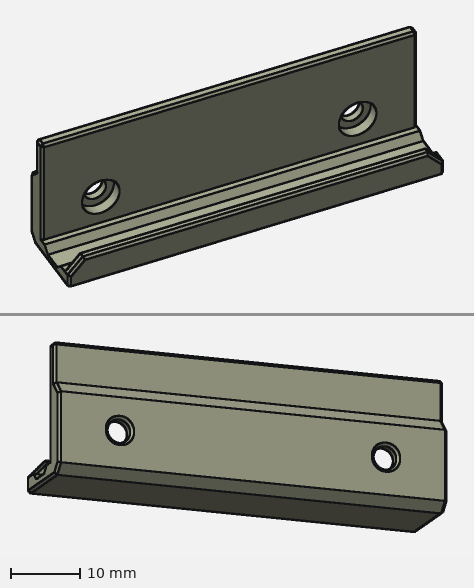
import cadquery as cq

width = 12.8
length = 60.0
height = 20.0

step_depth = 1.8
wall_inner_x = 3.7
step_low_z = 12.1
step_high_z = step_low_z + step_depth
corner_cut = 1.5

floor_top_z = 2.35
groove_floor_z = 1.25
groove_center_x = 7.45
groove_top_width = 5.4
groove_bottom_width = 3.2

lip_thickness = 1.6
lip_top_z = 4.9
lip_center_x = width - lip_thickness / 2
lip_slope_length = 2.45

bevel = 0.4

hole_diameter = 3.5
hole_mouth_diameter = 4.4
recess_diameter = 6.0
recess_depth = 1.9
hole_z = 7.15
hole_spacing = 41.05


def extrude_along_rail(points):
    """Extrude an XZ outline over the full length."""
    return cq.Workplane("XZ").polyline(points).close().extrude(length / 2, both=True)


def make_wall():
    wall = extrude_along_rail([
        (corner_cut, 0),
        (wall_inner_x, 0),
        (wall_inner_x, height),
        (step_depth, height),
        (step_depth, step_high_z),
        (0, step_low_z),
        (0, corner_cut),
    ])
    return wall.faces("<Y or >Y or >Z").edges().chamfer(bevel)


def make_floor():
    half_top = groove_top_width / 2
    half_bottom = groove_bottom_width / 2
    floor = extrude_along_rail([
        (step_depth, 0),
        (lip_center_x, 0),
        (lip_center_x, floor_top_z),
        (groove_center_x + half_top, floor_top_z),
        (groove_center_x + half_bottom, groove_floor_z),
        (groove_center_x - half_bottom, groove_floor_z),
        (groove_center_x - half_top, floor_top_z),
        (step_depth, floor_top_z),
    ])
    return floor.faces("<Z").edges("|X").chamfer(bevel)


def make_lip():
    half_length = length / 2
    half_top = half_length - lip_slope_length
    lip = (
        cq.Workplane("YZ", origin=(width - lip_thickness, 0, 0))
        .polyline([
            (-half_length, 0),
            (half_length, 0),
            (half_length, floor_top_z),
            (half_top, lip_top_z),
            (-half_top, lip_top_z),
            (-half_length, floor_top_z),
        ])
        .close()
        .extrude(lip_thickness)
    )
    side_edges = lip.faces("<X or >X").edges()
    bottom_end_edges = lip.faces("<Z").edges("|X")
    return side_edges.add(bottom_end_edges).chamfer(bevel)


def make_screw_hole(y):
    """Cutting tool for one hole: countersunk mouth, shank and head recess."""
    mouth_radius = hole_mouth_diameter / 2
    hole_radius = hole_diameter / 2
    recess_radius = recess_diameter / 2
    recess_x = wall_inner_x - recess_depth
    half_section = [
        (0, 0),
        (0, mouth_radius),
        (mouth_radius - hole_radius, hole_radius),
        (recess_x, hole_radius),
        (recess_x, recess_radius),
        (wall_inner_x, recess_radius),
        (wall_inner_x, 0),
    ]
    tool = cq.Workplane("XY").polyline(half_section).close().revolve(360, (0, 0), (1, 0))
    return tool.translate((0, y, hole_z))


result = make_wall().union(make_floor()).union(make_lip())
for side in (-1, 1):
    result = result.cut(make_screw_hole(side * hole_spacing / 2))